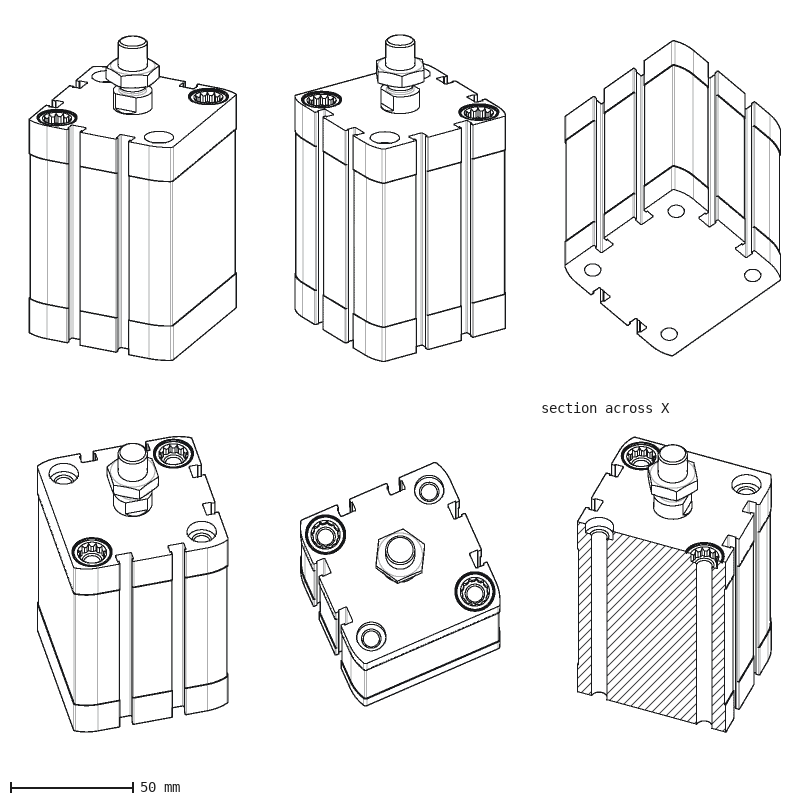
import cadquery as cq
import math

SIDE = 65.5
HALF = SIDE / 2
HOUSING_HEIGHT = 95.3
CAP_HEIGHT = 15.3
BARREL_INSET = 0.4
CORNER_RADIUS = 18.7
CORNER_CENTER_X = 23.2
CORNER_FILLET = 1.2

SLOT_OFFSET = 11.1
SLOT_MOUTH = 5.5
SLOT_WIDTH = 6.7
SLOT_DEPTH = 5.2
SLOT_LIP = 1.6
SLOT_FILLET = 0.5
MOUTH_RADIUS = 0.4

BOLT_OFFSET = 23.2
BOLT_HOLE = 6.6
BOLT_CHAMFER = 8.0
SEAT_DIAMETER = 12.0
SEAT_DEPTH = 4.9

POCKET_RIM = 16.5
POCKET_DIAMETER = 16.0
POCKET_DEPTH = 1.0
HEAD_DIAMETER = 15.5
HEAD_BEVEL = 0.4
HEAD_RECESS = 0.4
COUNTERSINK_DEPTH = 1.5
SPLINES = 12
SPLINE_OUTER = 11.6
SPLINE_INNER = 10.2
TOOTH_ANGLE = 13.0

ROD_TOP = 124.7
ROD_DIAMETER = 16.0
ROD_DEPTH = CAP_HEIGHT
SHOULDER_Z = 102.8
FLAT_DISTANCE = 13.0
FLAT_BOTTOM_Z = 96.4
FLAT_RUNOUT_Z = 95.5
THREAD_DIAMETER = 12.0
THREAD_BOTTOM_Z = 106.6
THREAD_CHAMFER = 0.7
NECK_DIAMETER = 10.2
NECK_TOP_Z = 104.2
NECK_FILLET = 0.6

NUT_BOTTOM_Z = 107.7
NUT_HEIGHT = 6.0
NUT_ACROSS_FLATS = 19.0
NUT_FACE_DIAMETER = 18.2
NUT_CHAMFER_HEIGHT = 0.5


def turned(points):
    """Solid of revolution about Z from (radius, z) points."""
    return cq.Workplane("XZ").polyline(points).close().revolve(360, (0, 0), (0, 1))


def plain_section(height, inset):
    """Square block with bulged corners, smaller than the caps by the inset on every side."""
    half = HALF - inset
    radius = CORNER_RADIUS - inset

    def arc_height(x):
        return half - radius + math.sqrt(radius**2 - (x - CORNER_CENTER_X) ** 2)

    corner_y = arc_height(half)
    middle_x = (CORNER_CENTER_X + half) / 2
    middle_y = arc_height(middle_x)
    block = (
        cq.Workplane("XY")
        .moveTo(-CORNER_CENTER_X, -half)
        .lineTo(CORNER_CENTER_X, -half)
        .threePointArc((middle_x, -middle_y), (half, -corner_y))
        .lineTo(half, corner_y)
        .threePointArc((middle_x, middle_y), (CORNER_CENTER_X, half))
        .lineTo(-CORNER_CENTER_X, half)
        .threePointArc((-middle_x, middle_y), (-half, corner_y))
        .lineTo(-half, -corner_y)
        .threePointArc((-middle_x, -middle_y), (-CORNER_CENTER_X, -half))
        .close()
        .extrude(height)
    )
    for side in ("<X", ">X"):
        block = block.edges(f"|Z and {side}").fillet(CORNER_FILLET - inset)
    return block


def t_slot(height, inset):
    """T-slot cutter centered on x = 0, open to -Y through a face at the given inset."""
    face_y = inset - HALF
    lip_y = SLOT_LIP - HALF
    floor_y = SLOT_DEPTH - HALF
    mouth = SLOT_MOUTH / 2
    rounded = mouth + MOUTH_RADIUS
    arc_x = rounded - MOUTH_RADIUS * math.sqrt(0.5)
    arc_y = face_y + MOUTH_RADIUS * (1 - math.sqrt(0.5))
    opening = (
        cq.Workplane("XY")
        .moveTo(-rounded, face_y)
        .threePointArc((-arc_x, arc_y), (-mouth, face_y + MOUTH_RADIUS))
        .lineTo(-mouth, lip_y)
        .lineTo(mouth, lip_y)
        .lineTo(mouth, face_y + MOUTH_RADIUS)
        .threePointArc((arc_x, arc_y), (rounded, face_y))
        .close()
        .extrude(height)
    )
    channel = (
        cq.Workplane("XY")
        .center(0, (lip_y + floor_y) / 2)
        .rect(SLOT_WIDTH, floor_y - lip_y)
        .extrude(height)
        .edges("|Z and >Y")
        .fillet(SLOT_FILLET)
    )
    return opening.union(channel)


def slotted_section(height, inset):
    """Section with two T-slots in each of its -Y, +Y and -X faces; the +X face is plain."""
    section = plain_section(height, inset)
    slot = t_slot(height, inset)
    for offset in (-SLOT_OFFSET, SLOT_OFFSET):
        for angle in (0, 180, 270):
            placed = slot.translate((offset, 0, 0)).rotate((0, 0, 0), (0, 0, 1), angle)
            section = section.cut(placed)
    return section


def bolt_hole():
    """Through hole with a chamfer at the bottom of the seat above it."""
    seat_z = HOUSING_HEIGHT - SEAT_DEPTH
    chamfer = (BOLT_CHAMFER - BOLT_HOLE) / 2
    return turned([
        (0, 0),
        (BOLT_HOLE / 2, 0),
        (BOLT_HOLE / 2, seat_z - chamfer),
        (BOLT_CHAMFER / 2, seat_z),
        (0, seat_z),
    ])


def plain_seat():
    """Round counterbore above a bolt hole."""
    return (
        cq.Workplane("XY")
        .workplane(offset=HOUSING_HEIGHT - SEAT_DEPTH)
        .circle(SEAT_DIAMETER / 2)
        .extrude(SEAT_DEPTH)
    )


def spline_socket():
    """Twelve-point socket: flat teeth with a pointed notch between each two of them."""
    def point(diameter, angle):
        return (diameter / 2 * math.cos(angle), diameter / 2 * math.sin(angle))

    pitch = 2 * math.pi / SPLINES
    half_tooth = math.radians(TOOTH_ANGLE / 2)
    outline = []
    for i in range(SPLINES):
        notch = i * pitch
        tooth = notch + pitch / 2
        outline.append(point(SPLINE_OUTER, notch))
        outline.append(point(SPLINE_INNER, tooth - half_tooth))
        outline.append(point(SPLINE_INNER, tooth + half_tooth))
    return (
        cq.Workplane("XY")
        .workplane(offset=HOUSING_HEIGHT - SEAT_DEPTH)
        .polyline(outline)
        .close()
        .extrude(SEAT_DEPTH)
    )


def screw_recess():
    """Everything cut away at a screw: the set-back head, its groove and its socket."""
    head_z = HOUSING_HEIGHT - HEAD_RECESS
    countersink_z = head_z - COUNTERSINK_DEPTH
    pocket_z = HOUSING_HEIGHT - POCKET_DEPTH
    rim_chamfer = (POCKET_RIM - POCKET_DIAMETER) / 2
    above_head = turned([
        (0, HOUSING_HEIGHT),
        (POCKET_RIM / 2, HOUSING_HEIGHT),
        (POCKET_DIAMETER / 2, HOUSING_HEIGHT - rim_chamfer),
        (POCKET_DIAMETER / 2, pocket_z),
        (HEAD_DIAMETER / 2, pocket_z),
        (HEAD_DIAMETER / 2, head_z - HEAD_BEVEL),
        (HEAD_DIAMETER / 2 - HEAD_BEVEL, head_z),
        (SEAT_DIAMETER / 2, head_z),
        (SPLINE_INNER / 2, countersink_z),
        (0, countersink_z),
    ])
    return spline_socket().union(above_head)


def make_housing():
    barrel_height = HOUSING_HEIGHT - 2 * CAP_HEIGHT
    cap = slotted_section(CAP_HEIGHT, 0)
    barrel = slotted_section(barrel_height, BARREL_INSET)
    housing = (
        cap
        .union(barrel.translate((0, 0, CAP_HEIGHT)))
        .union(cap.translate((0, 0, CAP_HEIGHT + barrel_height)))
    )

    for x_side in (-1, 1):
        for y_side in (-1, 1):
            place = (x_side * BOLT_OFFSET, y_side * BOLT_OFFSET, 0)
            seat = screw_recess() if x_side == y_side else plain_seat()
            housing = housing.cut(bolt_hole().translate(place)).cut(seat.translate(place))

    rod_hole = (
        cq.Workplane("XY")
        .workplane(offset=HOUSING_HEIGHT - ROD_DEPTH)
        .circle(ROD_DIAMETER / 2)
        .extrude(ROD_DEPTH)
    )
    return housing.cut(rod_hole)


def make_rod():
    rod_radius = ROD_DIAMETER / 2
    thread_radius = THREAD_DIAMETER / 2
    neck_radius = NECK_DIAMETER / 2
    bottom_z = HOUSING_HEIGHT - ROD_DEPTH
    fillet_middle = NECK_FILLET * (1 - math.sqrt(0.5))
    rod = (
        cq.Workplane("XZ")
        .moveTo(0, bottom_z)
        .lineTo(rod_radius, bottom_z)
        .lineTo(rod_radius, SHOULDER_Z)
        .lineTo(neck_radius + NECK_FILLET, SHOULDER_Z)
        .threePointArc(
            (neck_radius + fillet_middle, SHOULDER_Z + fillet_middle),
            (neck_radius, SHOULDER_Z + NECK_FILLET),
        )
        .lineTo(neck_radius, NECK_TOP_Z)
        .lineTo(thread_radius, THREAD_BOTTOM_Z)
        .lineTo(thread_radius, ROD_TOP - THREAD_CHAMFER)
        .lineTo(thread_radius - THREAD_CHAMFER, ROD_TOP)
        .lineTo(0, ROD_TOP)
        .close()
        .revolve(360, (0, 0), (0, 1))
    )

    flat = (
        cq.Workplane("YZ")
        .polyline([
            (FLAT_DISTANCE / 2, SHOULDER_Z),
            (FLAT_DISTANCE / 2, FLAT_BOTTOM_Z),
            (rod_radius, FLAT_RUNOUT_Z),
            (rod_radius, SHOULDER_Z),
        ])
        .close()
        .extrude(rod_radius, both=True)
    )
    return rod.cut(flat).cut(flat.mirror("XZ"))


def make_nut():
    corner_radius = NUT_ACROSS_FLATS / math.sqrt(3)
    face_radius = NUT_FACE_DIAMETER / 2
    top_z = NUT_BOTTOM_Z + NUT_HEIGHT
    hexagon = (
        cq.Workplane("XY")
        .workplane(offset=NUT_BOTTOM_Z)
        .polygon(6, 2 * corner_radius)
        .circle(THREAD_DIAMETER / 2)
        .extrude(NUT_HEIGHT)
        .rotate((0, 0, 0), (0, 0, 1), 30)
    )
    envelope = turned([
        (0, NUT_BOTTOM_Z),
        (face_radius, NUT_BOTTOM_Z),
        (corner_radius, NUT_BOTTOM_Z + NUT_CHAMFER_HEIGHT),
        (corner_radius, top_z - NUT_CHAMFER_HEIGHT),
        (face_radius, top_z),
        (0, top_z),
    ])
    return hexagon.intersect(envelope)


housing = make_housing()
rod = make_rod()
nut = make_nut()

result = cq.Compound.makeCompound([housing.val(), rod.val(), nut.val()])